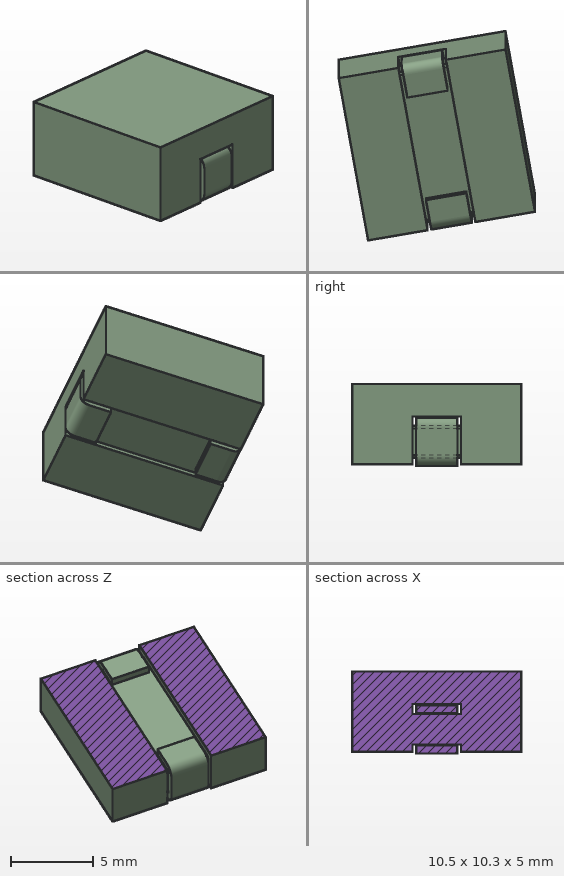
import cadquery as cq

body_side = 10.3
body_height = 4.89

channel_width = 2.94
channel_height = 2.9

overall_length = 10.5
overall_height = 5.0
terminal_width = 2.5
terminal_thickness = 0.49
terminal_leg_length = 2.0
terminal_bend_radius = 0.6
terminal_top_gap = 0.05

terminal_bottom = body_height - overall_height
terminal_top = channel_height - terminal_top_gap
terminal_height = terminal_top - terminal_bottom
terminal_mid_z = (terminal_top + terminal_bottom) / 2

core_length = overall_length - 2 * terminal_thickness
core_height = terminal_height - 2 * terminal_thickness
core_chamfer = 0.17


def make_body():
    block = cq.Workplane("XY").box(body_side, body_side, body_height, centered=(True, True, False))
    channel = cq.Workplane("XY").box(
        body_side, channel_width, channel_height, centered=(True, True, False)
    )
    return block.cut(channel)


def make_core():
    bar = cq.Workplane("XY").box(core_length, channel_width, core_height)
    bar = bar.faces("<X or >X").edges("|Y").chamfer(core_chamfer)
    return bar.translate((0, 0, terminal_mid_z))


def rounded_block(end, height, radius):
    """Block as long and wide as a clip, rounded on its upper and lower edges at one end."""
    return (
        cq.Workplane("XY")
        .box(terminal_leg_length, terminal_width, height)
        .faces(">X" if end > 0 else "<X")
        .edges("|Y")
        .fillet(radius)
    )


def make_terminal(end):
    """Clip with a horizontal leg above and below the core; end is -1 or 1 along X."""
    outer = rounded_block(end, terminal_height, terminal_bend_radius)
    opening = rounded_block(end, core_height, terminal_bend_radius - terminal_thickness)
    clip = outer.cut(opening.translate((-end * terminal_thickness, 0, 0)))
    center_x = end * (overall_length - terminal_leg_length) / 2
    return clip.translate((center_x, 0, terminal_mid_z))


result = make_body().union(make_core())
for end in (-1, 1):
    result = result.union(make_terminal(end))